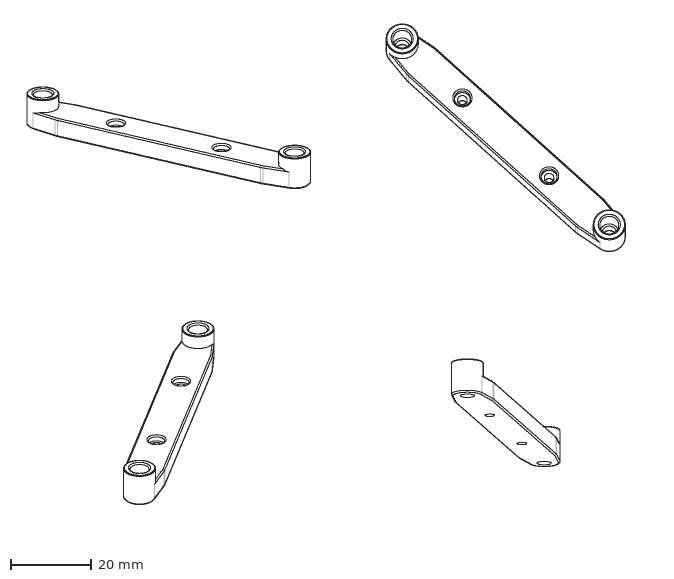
import cadquery as cq
import math

length = 79.64
bar_width = 10.0
bar_height = 5.0
boss_height = 8.5
boss_diameter = 8.0

corner_x = 29.25
corner_radius = 5.0

bar_chamfer = 0.4
bore_chamfer = 0.4
boss_chamfer = 0.2

boss_hole_diameter = 3.5
boss_bore_diameter = 4.7
boss_bore_depth = 5.5

screw_spacing = 30.0
screw_hole_diameter = 2.4
screw_bore_diameter = 4.0
screw_bore_depth = 1.5

boss_radius = boss_diameter / 2
boss_x = length / 2 - boss_radius
half_width = bar_width / 2

corner_distance = math.hypot(boss_x - corner_x, half_width)
corner_direction = math.atan2(half_width, boss_x - corner_x)
tangent_angle = math.pi - corner_direction - math.acos(boss_radius / corner_distance)
tangent_x = boss_x + boss_radius * math.cos(tangent_angle)
tangent_y = boss_radius * math.sin(tangent_angle)


def make_bar():
    """Bar with tapered, rounded ends, chamfered around the top and bottom."""
    outline = (
        cq.Workplane("XY")
        .moveTo(-corner_x, -half_width)
        .lineTo(corner_x, -half_width)
        .lineTo(tangent_x, -tangent_y)
        .threePointArc((length / 2, 0), (tangent_x, tangent_y))
        .lineTo(corner_x, half_width)
        .lineTo(-corner_x, half_width)
        .lineTo(-tangent_x, tangent_y)
        .threePointArc((-length / 2, 0), (-tangent_x, -tangent_y))
        .close()
    )
    bar = outline.extrude(bar_height)
    side_corners = [(x, y) for x in (-corner_x, corner_x) for y in (-half_width, half_width)]
    for x, y in side_corners:
        corner_edge = cq.selectors.NearestToPointSelector((x, y, bar_height / 2))
        bar = bar.edges(corner_edge).fillet(corner_radius)
    return bar.faces("<Z or >Z").chamfer(bar_chamfer)


def make_boss(x):
    """Round boss standing at one end of the bar, starting above the bottom chamfer."""
    return (
        cq.Workplane("XY", origin=(x, 0, bar_chamfer))
        .circle(boss_radius)
        .extrude(boss_height - bar_chamfer)
        .faces(">Z")
        .chamfer(boss_chamfer)
    )


def make_stepped_hole(x, top, hole_diameter, bore_diameter, bore_depth, chamfer):
    """Cutter for a through hole with a wider bore and a chamfered mouth at the top."""
    hole_radius = hole_diameter / 2
    bore_radius = bore_diameter / 2
    return (
        cq.Workplane("XZ")
        .moveTo(0, 0)
        .lineTo(hole_radius, 0)
        .lineTo(hole_radius, top - bore_depth)
        .lineTo(bore_radius, top - bore_depth)
        .lineTo(bore_radius, top - chamfer)
        .lineTo(bore_radius + chamfer, top)
        .lineTo(0, top)
        .close()
        .revolve(360, (0, 0), (0, 1))
        .translate((x, 0, 0))
    )


result = make_bar()
for side in (-1, 1):
    result = result.union(make_boss(side * boss_x))
for side in (-1, 1):
    boss_hole = make_stepped_hole(
        side * boss_x, boss_height,
        boss_hole_diameter, boss_bore_diameter, boss_bore_depth, bore_chamfer,
    )
    screw_hole = make_stepped_hole(
        side * screw_spacing / 2, bar_height,
        screw_hole_diameter, screw_bore_diameter, screw_bore_depth, bore_chamfer,
    )
    result = result.cut(boss_hole).cut(screw_hole)